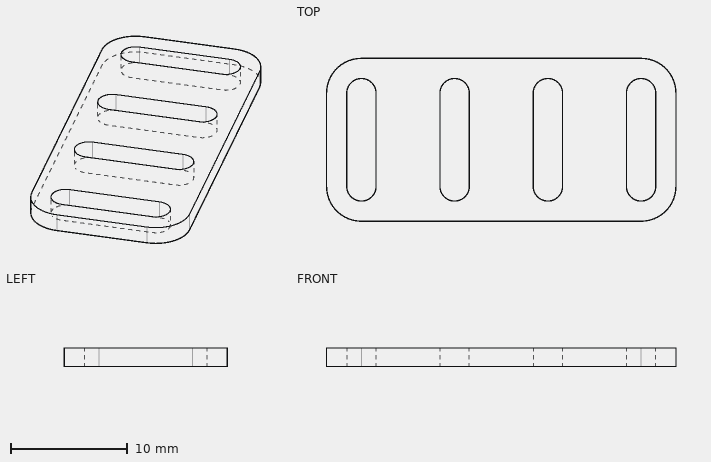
import cadquery as cq

plate_length = 30.0
plate_width = 14.0
plate_thickness = 1.6
corner_radius = 3.0

slot_count = 4
slot_pitch = 8.0
slot_width = 2.5
slot_length = 10.5


def make_plate():
    """Flat plate with rounded vertical corners, centred on the origin in X and Y."""
    return (
        cq.Workplane("XY")
        .rect(plate_length, plate_width)
        .extrude(plate_thickness)
        .edges("|Z")
        .fillet(corner_radius)
    )


def make_slots():
    """Evenly spaced row of round-ended slots with their long axis along Y."""
    return (
        cq.Workplane("XY")
        .rarray(slot_pitch, 1, slot_count, 1)
        .slot2D(slot_length, slot_width, angle=90)
        .extrude(plate_thickness)
    )


result = make_plate().cut(make_slots())